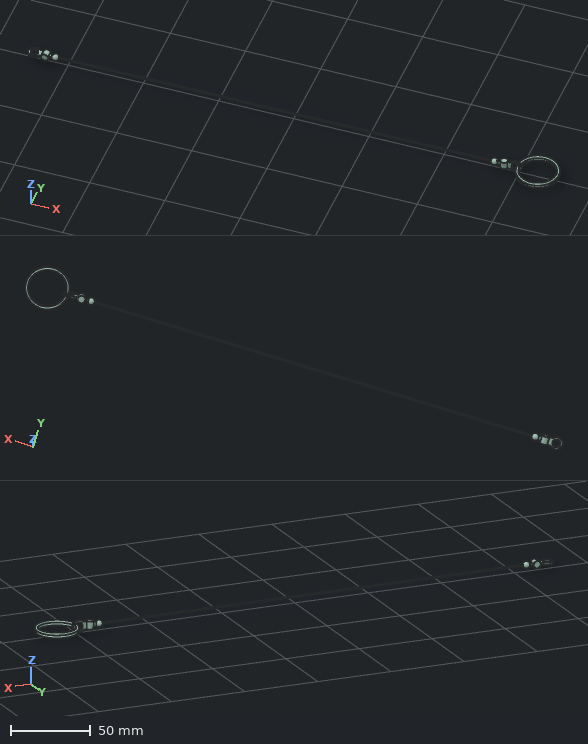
import cadquery as cq

total_length = 352.8

eye_diameter = 8.0
eye_hole_diameter = 5.0
eye_thickness = 1.5
barrel_diameter = 5.0
barrel_length = 5.3
barrel_offset = 11.5
ball_diameter = 5.0
ball_offset = 18.0
neck_width = 3.0

cable_diameter = 0.9

ring_diameter = 28.0
ring_wire_diameter = 1.85
ring_turn_gap = 0.07
ring_eye_reach = 3.0

far_eye_tip = total_length - ring_diameter + ring_eye_reach


def end_fitting():
    """Flat eye, cross barrel and ball, with the eye tip at the origin and the eye in the XY plane."""
    eye_centre = eye_diameter / 2
    eye = cq.Workplane("XY").center(eye_centre, 0).circle(eye_diameter / 2).extrude(eye_thickness / 2, both=True)
    tab_length = barrel_offset - eye_centre
    tab = cq.Workplane("XY").box(tab_length, barrel_length, eye_thickness)
    tab = tab.translate((eye_centre + tab_length / 2, 0, 0))
    hole = cq.Workplane("XY").center(eye_centre, 0).circle(eye_hole_diameter / 2)
    hole = hole.extrude(eye_thickness, both=True)
    barrel = cq.Workplane("XZ").center(barrel_offset, 0).circle(barrel_diameter / 2)
    barrel = barrel.extrude(barrel_length / 2, both=True)
    neck_length = ball_offset - barrel_offset
    neck = cq.Workplane("XY").box(neck_length, neck_width, eye_thickness)
    neck = neck.translate((barrel_offset + neck_length / 2, 0, 0))
    ball = cq.Workplane("XY").sphere(ball_diameter / 2).translate((ball_offset, 0, 0))
    return eye.union(tab).cut(hole).union(barrel).union(neck).union(ball)


def ring_turn(height):
    """One closed turn of the split ring at the given height."""
    wire_radius = ring_wire_diameter / 2
    turn = cq.Workplane(cq.Solid.makeTorus(ring_diameter / 2 - wire_radius, wire_radius))
    return turn.translate((total_length - ring_diameter / 2, 0, height))


near_fitting = end_fitting()
far_fitting = end_fitting().rotate((0, 0, 0), (0, 0, 1), 180).rotate((0, 0, 0), (1, 0, 0), 90)
far_fitting = far_fitting.translate((far_eye_tip, 0, 0))
cable_length = far_eye_tip - 2 * ball_offset
cable = cq.Workplane("YZ").workplane(offset=ball_offset).circle(cable_diameter / 2).extrude(cable_length)

result = near_fitting.union(cable).union(far_fitting)

turn_height = (ring_wire_diameter + ring_turn_gap) / 2
for side in (-1, 1):
    result = result.union(ring_turn(side * turn_height))